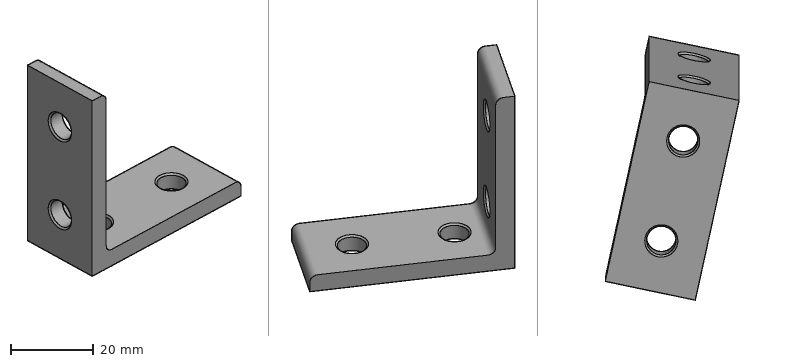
import cadquery as cq

width = 22.35
leg_length = 50.8
thickness = 4.8
toe_radius = 2.05
root_radius = 1.95

hole_diameter = 7.1
hole_mouth_diameter = 8.05
hole_positions = (leg_length / 4, 3 * leg_length / 4)
chamfer_depth = (hole_mouth_diameter - hole_diameter) / 2


def angle_body():
    """Extrude the L section across the width, then round its toes and root."""
    section = [
        (0, 0),
        (leg_length, 0),
        (leg_length, thickness),
        (thickness, thickness),
        (thickness, leg_length),
        (0, leg_length),
    ]
    body = cq.Workplane("YZ").polyline(section).close().extrude(width / 2, both=True)

    def edge_along_x(y, z):
        return cq.selectors.NearestToPointSelector((0, y, z))

    body = body.edges(edge_along_x(leg_length, thickness)).fillet(toe_radius)
    body = body.edges(edge_along_x(thickness, leg_length)).fillet(toe_radius)
    return body.edges(edge_along_x(thickness, thickness)).fillet(root_radius)


def hole_cutter(start, direction):
    """Through hole with a 45 degree chamfer at each face of the leg."""
    start = cq.Vector(*start)
    direction = cq.Vector(*direction)
    mouth_radius = hole_mouth_diameter / 2
    hole_radius = hole_diameter / 2
    far_face = start + direction * thickness
    bore = cq.Solid.makeCylinder(hole_radius, thickness, start, direction)
    near_cone = cq.Solid.makeCone(mouth_radius, hole_radius, chamfer_depth, start, direction)
    far_cone = cq.Solid.makeCone(mouth_radius, hole_radius, chamfer_depth, far_face, direction * -1)
    return bore.fuse(near_cone, far_cone)


result = angle_body()
for position in hole_positions:
    result = result.cut(cq.Workplane(hole_cutter((0, 0, position), (0, 1, 0))))
    result = result.cut(cq.Workplane(hole_cutter((0, position, 0), (0, 0, 1))))